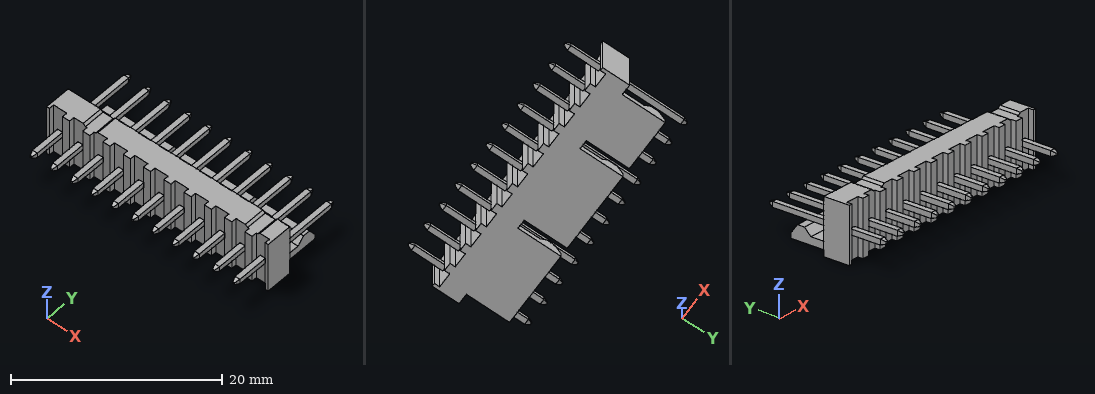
import cadquery as cq


BODY_LENGTH = 27.8
BODY_DEPTH = 3.15
BODY_HEIGHT = 6.35

PIN_COUNT = 11
PIN_ROW_SPAN = 25.4
PIN_PITCH = PIN_ROW_SPAN / (PIN_COUNT - 1)
FIRST_PIN_X = (BODY_LENGTH - PIN_ROW_SPAN) / 2
PIN_WIDTH = 0.65
PIN_HEIGHT_ABOVE_BASE = 3.08
PIN_BACK_REACH = 7.5
PIN_FRONT_REACH = 3.58
TIP_LENGTH = 0.53
TIP_WIDTH = 0.25

GROOVE_WIDTH = 1.65
GROOVE_DEPTH = 0.6

NOTCH_AFTER_PINS = (2, 10)
NOTCH_FLOOR_WIDTH = 1.28
NOTCH_DEPTH = 0.25
NOTCH_FLARE = 0.28

LATCH_REACH = 5.0
LATCH_THICKNESS = 0.92
HOOK_HEIGHT = 1.7
HOOK_FLAT_START = 3.33
HOOK_FLAT_END = 4.22
HOOK_NOSE_HEIGHT = 0.65
LATCH_GAP = 1.0
MIDDLE_LATCH_LENGTH = 9.12
MIDDLE_LATCH_AFTER_PIN = 6


def pin_x(number):
    """X of a pin centre, counting pins from 1."""
    return FIRST_PIN_X + (number - 1) * PIN_PITCH


def space_x(number):
    """X midway between the given pin and the next one."""
    return pin_x(number) + PIN_PITCH / 2


def make_body():
    body = cq.Workplane("XY").box(BODY_LENGTH, BODY_DEPTH, BODY_HEIGHT, centered=False)
    return body.translate((0, -BODY_DEPTH, 0))


def make_groove(number):
    groove = cq.Workplane("XY").box(GROOVE_WIDTH, GROOVE_DEPTH, BODY_HEIGHT, centered=(True, False, False))
    return groove.translate((pin_x(number), -BODY_DEPTH, 0))


def make_notch(after_pin):
    floor_half = NOTCH_FLOOR_WIDTH / 2
    top_half = floor_half + NOTCH_FLARE
    outline = [
        (-top_half, BODY_HEIGHT),
        (-floor_half, BODY_HEIGHT - NOTCH_DEPTH),
        (floor_half, BODY_HEIGHT - NOTCH_DEPTH),
        (top_half, BODY_HEIGHT),
    ]
    notch = cq.Workplane("XZ").polyline(outline).close().extrude(BODY_DEPTH)
    return notch.translate((space_x(after_pin), 0, 0))


def make_latch(start_x, end_x):
    hook_start = HOOK_FLAT_START - (HOOK_HEIGHT - LATCH_THICKNESS)
    profile = [
        (0, 0),
        (LATCH_REACH, 0),
        (LATCH_REACH, HOOK_NOSE_HEIGHT),
        (HOOK_FLAT_END, HOOK_HEIGHT),
        (HOOK_FLAT_START, HOOK_HEIGHT),
        (hook_start, LATCH_THICKNESS),
        (0, LATCH_THICKNESS),
    ]
    latch = cq.Workplane("YZ").polyline(profile).close().extrude(end_x - start_x)
    return latch.translate((start_x, 0, 0))


def make_pin(number):
    front_y = -BODY_DEPTH - PIN_FRONT_REACH
    shank_start = front_y + TIP_LENGTH
    shank_end = PIN_BACK_REACH - TIP_LENGTH

    def square(y, width):
        plane = cq.Plane(origin=(pin_x(number), y, PIN_HEIGHT_ABOVE_BASE), xDir=(1, 0, 0), normal=(0, 1, 0))
        return cq.Workplane(plane).rect(width, width)

    shank = square(shank_start, PIN_WIDTH).extrude(shank_end - shank_start)
    front_tip = square(front_y, TIP_WIDTH).workplane(offset=TIP_LENGTH).rect(PIN_WIDTH, PIN_WIDTH).loft()
    back_tip = square(shank_end, PIN_WIDTH).workplane(offset=TIP_LENGTH).rect(TIP_WIDTH, TIP_WIDTH).loft()
    return shank.union(front_tip).union(back_tip)


result = make_body()

for pin_number in range(1, PIN_COUNT + 1):
    result = result.cut(make_groove(pin_number))

for pin_number in NOTCH_AFTER_PINS:
    result = result.cut(make_notch(pin_number))

middle_centre = space_x(MIDDLE_LATCH_AFTER_PIN)
middle_start = middle_centre - MIDDLE_LATCH_LENGTH / 2
middle_end = middle_centre + MIDDLE_LATCH_LENGTH / 2
result = result.union(make_latch(pin_x(1), middle_start - LATCH_GAP))
result = result.union(make_latch(middle_start, middle_end))
result = result.union(make_latch(middle_end + LATCH_GAP, pin_x(PIN_COUNT)))

for pin_number in range(1, PIN_COUNT + 1):
    result = result.union(make_pin(pin_number))